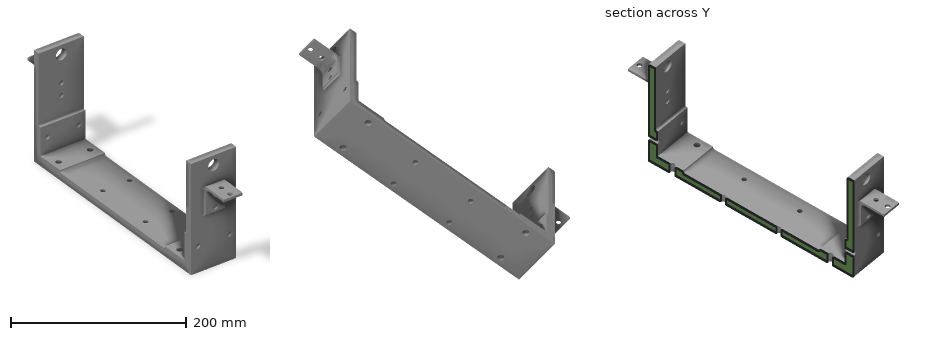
import cadquery as cq

OVERALL_LENGTH = 381.0
DEPTH = 63.5
HEIGHT = 149.5
BODY_LENGTH = 304.8

WALL_THICKNESS = 9.5
FLOOR_THICKNESS = 10.3
STEP = 3.15
STEP_REACH = 38.0
STEP_FILLET = 2.3

BRACKET_THICKNESS = 3.5
BRACKET_WIDTH = 26.5
BRACKET_HEIGHT = 38.0
BRACKET_TOP = 113.5
BRACKET_INNER_RADIUS = 6.0
WELD_FILLET = 2.3

TOP_HOLE_DIAMETER = 15.2
TOP_HOLE_DROP = 13.0
SIDE_HOLE_DIAMETER = 6.5
SIDE_HOLE_HEIGHT = 35.5
SIDE_HOLE_SPACING = 44.2
BRACKET_HOLE_DIAMETER = 6.5
BRACKET_HOLE_SPACING = 16.8
BRACKET_HOLE_EDGE = 6.0
CORNER_HOLE_DIAMETER = 8.0
CORNER_HOLE_OFFSET = 35.0
CORNER_HOLE_SPACING = 44.5
FLOOR_HOLE_DIAMETER = 6.5
FLOOR_HOLE_SPACING_X = 82.5
FLOOR_HOLE_SPACING_Y = 38.0
FLOOR_HOLE_SHIFT_Y = 4.0

HALF_BODY = BODY_LENGTH / 2
HALF_LENGTH = OVERALL_LENGTH / 2
BRACKET_BOTTOM = BRACKET_TOP - BRACKET_HEIGHT


def make_half_body():
    """Left half of the U, drawn as an XZ profile and extruded along Y."""
    wall_x = -HALF_BODY + WALL_THICKNESS
    corner_x = wall_x + STEP
    corner_z = FLOOR_THICKNESS + STEP
    step_top = corner_z + STEP_REACH
    step_end = corner_x + STEP_REACH
    profile = (
        cq.Workplane("XZ")
        .moveTo(0, 0)
        .lineTo(-HALF_BODY, 0)
        .lineTo(-HALF_BODY, HEIGHT)
        .lineTo(wall_x, HEIGHT)
        .lineTo(wall_x, step_top + STEP_FILLET)
        .radiusArc((wall_x + STEP_FILLET, step_top), -STEP_FILLET)
        .lineTo(corner_x, step_top)
        .lineTo(corner_x, corner_z)
        .lineTo(step_end, corner_z)
        .lineTo(step_end, FLOOR_THICKNESS + STEP_FILLET)
        .radiusArc((step_end + STEP_FILLET, FLOOR_THICKNESS), -STEP_FILLET)
        .lineTo(0, FLOOR_THICKNESS)
        .close()
    )
    return profile.extrude(DEPTH / 2, both=True)


def make_bracket():
    """Left bracket: bent plate drawn as an XZ profile and extruded along Y."""
    face_x = -HALF_BODY - BRACKET_THICKNESS
    underside = BRACKET_TOP - BRACKET_THICKNESS
    profile = (
        cq.Workplane("XZ")
        .moveTo(-HALF_LENGTH, BRACKET_TOP)
        .lineTo(face_x, BRACKET_TOP)
        .radiusArc((-HALF_BODY, underside), BRACKET_THICKNESS)
        .lineTo(-HALF_BODY, BRACKET_BOTTOM)
        .lineTo(face_x, BRACKET_BOTTOM)
        .lineTo(face_x, underside - BRACKET_INNER_RADIUS)
        .radiusArc((face_x - BRACKET_INNER_RADIUS, underside), -BRACKET_INNER_RADIUS)
        .lineTo(-HALF_LENGTH, underside)
        .close()
    )
    return profile.extrude(BRACKET_WIDTH / 2, both=True)


def make_weld_fillets():
    """Concave fillets joining the sides and bottom of the left bracket to the wall."""
    half_width = BRACKET_WIDTH / 2
    outer_width = BRACKET_WIDTH + 2 * WELD_FILLET
    outer_bottom = BRACKET_BOTTOM - WELD_FILLET
    crest_x = -HALF_BODY - WELD_FILLET

    band = (
        cq.Workplane("XY", origin=(0, 0, outer_bottom))
        .moveTo(-HALF_BODY, -half_width - WELD_FILLET)
        .radiusArc((crest_x, -half_width), -WELD_FILLET)
        .lineTo(crest_x, half_width)
        .radiusArc((-HALF_BODY, half_width + WELD_FILLET), -WELD_FILLET)
        .close()
        .extrude(BRACKET_TOP - outer_bottom)
    )
    side_outline = (
        cq.Workplane("XZ")
        .moveTo(-HALF_BODY, outer_bottom)
        .radiusArc((crest_x, BRACKET_BOTTOM), WELD_FILLET)
        .lineTo(-HALF_BODY - BRACKET_THICKNESS, BRACKET_BOTTOM)
        .lineTo(-HALF_BODY - BRACKET_THICKNESS, BRACKET_TOP)
        .radiusArc((-HALF_BODY, BRACKET_TOP - BRACKET_THICKNESS), BRACKET_THICKNESS)
        .close()
        .extrude(outer_width / 2, both=True)
    )
    return band.intersect(side_outline)


def wall_holes(points, diameter):
    """Cutters along X through the left wall and its bracket, at (y, z) points."""
    length = WALL_THICKNESS + STEP + 2 * BRACKET_THICKNESS
    start = -HALF_BODY - 2 * BRACKET_THICKNESS
    return cq.Workplane("YZ", origin=(start, 0, 0)).pushPoints(points).circle(diameter / 2).extrude(length)


def vertical_holes(points, diameter):
    """Cutters along Z through the full height, at (x, y) points."""
    return cq.Workplane("XY").pushPoints(points).circle(diameter / 2).extrude(HEIGHT)


def pair(x, spacing, middle_y=0):
    """Two (x, y) points at the same x, placed evenly about middle_y."""
    return [(x, middle_y - spacing / 2), (x, middle_y + spacing / 2)]


def make_hole_cutters():
    """All hole cutters for the left half of the part."""
    leg_offsets = [BRACKET_HOLE_EDGE, BRACKET_HOLE_EDGE + BRACKET_HOLE_SPACING]
    side_points = [(y, SIDE_HOLE_HEIGHT) for y in (-SIDE_HOLE_SPACING / 2, SIDE_HOLE_SPACING / 2)]
    floor_points = pair(-FLOOR_HOLE_SPACING_X / 2, FLOOR_HOLE_SPACING_Y, FLOOR_HOLE_SHIFT_Y)
    return [
        wall_holes([(0, HEIGHT - TOP_HOLE_DROP)], TOP_HOLE_DIAMETER),
        wall_holes(side_points, SIDE_HOLE_DIAMETER),
        wall_holes([(0, BRACKET_BOTTOM + offset) for offset in leg_offsets], BRACKET_HOLE_DIAMETER),
        vertical_holes([(-HALF_LENGTH + offset, 0) for offset in leg_offsets], BRACKET_HOLE_DIAMETER),
        vertical_holes(pair(-HALF_BODY + CORNER_HOLE_OFFSET, CORNER_HOLE_SPACING), CORNER_HOLE_DIAMETER),
        vertical_holes(floor_points, FLOOR_HOLE_DIAMETER),
    ]


left_half = make_half_body().union(make_bracket()).union(make_weld_fillets())
for cutter in make_hole_cutters():
    left_half = left_half.cut(cutter)

result = left_half.union(left_half.mirror("YZ")).clean()